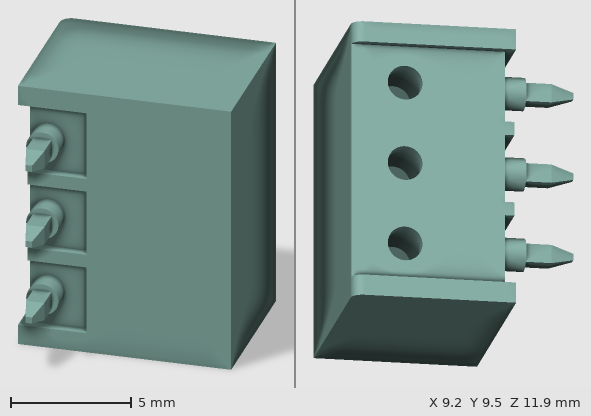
import cadquery as cq

body_width = 9.2
body_depth = 6.9
body_height = 11.89
corner_radius = 0.5
flange_thickness = 0.88
recess_depth = 0.4

contact_count = 3
contact_pitch = 3.5
pin_x = 1.2

pocket_right = 2.95
pocket_depth = 0.4
rib_thickness = 0.58

hole_diameter = 1.46
hole_y = 4.61
hole_depth = 2 * hole_diameter

collar_diameter = 1.39
collar_end = 0.54
pin_size = 0.8
taper_start = 1.63
pin_length = 2.6
tip_size = 0.29

contact_heights = [(i - (contact_count - 1) / 2) * contact_pitch for i in range(contact_count)]
rib_heights = [(low + high) / 2 for low, high in zip(contact_heights, contact_heights[1:])]
inner_height = body_height - 2 * flange_thickness


def block(x_start, x_end, y_start, y_end, height, z_centre=0):
    """Box between the given x and y limits, centred vertically on z_centre."""
    box = cq.Workplane("XY").box(x_end - x_start, y_end - y_start, height, centered=(False, False, True))
    return box.translate((x_start, y_start, z_centre))


def make_housing():
    """Block with a rounded rear corner, a recessed left face and a pocketed front."""
    housing = block(0, body_width, 0, body_depth, body_height)
    housing = housing.edges("|Z and <X and >Y").fillet(corner_radius)
    housing = housing.cut(block(0, recess_depth, 0, body_depth, inner_height))
    housing = housing.cut(block(recess_depth, pocket_right, 0, pocket_depth, inner_height))
    for z in rib_heights:
        housing = housing.union(block(recess_depth, pocket_right, 0, pocket_depth, rib_thickness, z))
    return housing


def make_wire_hole(z):
    """Cylinder running in +X from the recessed left face."""
    face = cq.Workplane("YZ", origin=(recess_depth, hole_y, z))
    return face.circle(hole_diameter / 2).extrude(hole_depth)


def make_pin(z):
    """Round collar, square shank and tapered square tip pointing in -Y."""
    def section(y):
        return cq.Workplane("XZ", origin=(pin_x, y, z))

    collar = section(pocket_depth).circle(collar_diameter / 2).extrude(pocket_depth + collar_end)
    shank = section(-collar_end).rect(pin_size, pin_size).extrude(taper_start - collar_end)
    tip = section(-taper_start).rect(pin_size, pin_size)
    tip = tip.workplane(offset=pin_length - taper_start).rect(tip_size, tip_size).loft(ruled=True)
    return collar.union(shank).union(tip)


result = make_housing()
for contact_z in contact_heights:
    result = result.cut(make_wire_hole(contact_z))
    result = result.union(make_pin(contact_z))